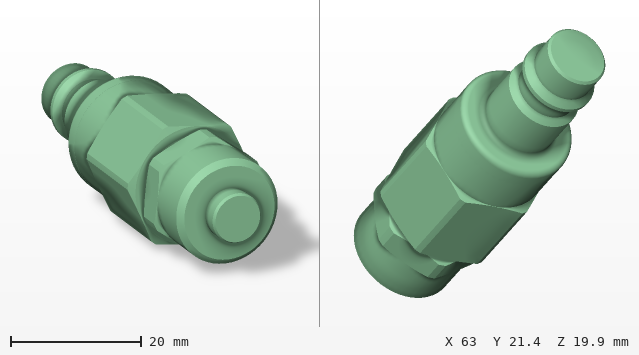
import cadquery as cq
import math

TOTAL_LENGTH = 63.0

TIP_DIAMETER = 9.9
TIP_CHAMFER = 0.4
RIDGE_DIAMETER = 12.0
RIDGE_START = 4.9
RIDGE_CREST_START = 6.1
RIDGE_CREST_END = 6.85
RIDGE_END = 8.0
GROOVE_DIAMETER = 9.75
GROOVE_END = 10.4
SHANK_START = 11.4
SHANK_DIAMETER = RIDGE_DIAMETER

COLLAR_START = 20.05
COLLAR_DIAMETER = 19.0
COLLAR_END = 23.0
COLLAR_ROUND = 0.95
SHANK_FILLET = 0.75
BODY_DIAMETER = 18.95

BODY_HEX_START = 29.85
BODY_HEX_END = 45.9
BODY_HEX_FLATS = 19.0
BODY_HEX_CORNERS = 21.4
BODY_HEX_ANGLE = -6.0

NECK_DIAMETER = 16.0
NUT_HEX_START = 47.3
NUT_HEX_END = 51.85
NUT_HEX_FLATS = 17.0
NUT_HEX_CORNERS = 18.95
NUT_HEX_ANGLE = 24.0
NUT_DIAMETER = 17.0
NUT_END = 59.85
NUT_CHAMFER = 0.95
STUB_DIAMETER = 8.0
STUB_CHAMFER = 0.5
STUB_CHAMFER_DEPTH = 0.25

HEX_BEVEL_LENGTH = 0.4


def turned_body():
    """Revolve the stepped round profile about the X axis."""
    tip = TIP_DIAMETER / 2
    ridge = RIDGE_DIAMETER / 2
    groove = GROOVE_DIAMETER / 2
    shank = SHANK_DIAMETER / 2
    collar = COLLAR_DIAMETER / 2
    body = BODY_DIAMETER / 2
    neck = NECK_DIAMETER / 2
    nut = NUT_DIAMETER / 2
    stub = STUB_DIAMETER / 2
    profile = (
        cq.Workplane("XY")
        .lineTo(0, tip - TIP_CHAMFER)
        .lineTo(TIP_CHAMFER, tip)
        .lineTo(RIDGE_START, tip)
        .lineTo(RIDGE_CREST_START, ridge)
        .lineTo(RIDGE_CREST_END, ridge)
        .lineTo(RIDGE_END, groove)
        .lineTo(GROOVE_END, groove)
        .lineTo(SHANK_START, shank)
        .lineTo(COLLAR_START - SHANK_FILLET, shank)
        .radiusArc((COLLAR_START, shank + SHANK_FILLET), -SHANK_FILLET)
        .lineTo(COLLAR_START, collar - COLLAR_ROUND)
        .radiusArc((COLLAR_START + COLLAR_ROUND, collar), COLLAR_ROUND)
        .lineTo(COLLAR_END, collar)
        .lineTo(COLLAR_END, body)
        .lineTo(BODY_HEX_END, body)
        .lineTo(BODY_HEX_END, neck)
        .lineTo(NUT_HEX_START, neck)
        .lineTo(NUT_HEX_START, nut)
        .lineTo(NUT_END - NUT_CHAMFER, nut)
        .lineTo(NUT_END, nut - NUT_CHAMFER)
        .lineTo(NUT_END, stub)
        .lineTo(TOTAL_LENGTH - STUB_CHAMFER, stub)
        .lineTo(TOTAL_LENGTH, stub - STUB_CHAMFER_DEPTH)
        .lineTo(TOTAL_LENGTH, 0)
        .close()
    )
    return profile.revolve(360, (0, 0, 0), (1, 0, 0))


def hexagon(start, end, flats, corners, angle):
    """Hexagon along X with turned corners; angle is that of a corner from +Y toward +Z."""
    radius = corners / 2
    prism = (
        cq.Workplane("YZ", origin=(start, 0, 0))
        .polygon(6, flats / math.cos(math.radians(30)))
        .extrude(end - start)
        .rotate((0, 0, 0), (1, 0, 0), angle)
    )
    envelope = (
        cq.Workplane("XY")
        .moveTo(start, 0)
        .lineTo(start, flats / 2)
        .lineTo(start + HEX_BEVEL_LENGTH, radius)
        .lineTo(end - HEX_BEVEL_LENGTH, radius)
        .lineTo(end, flats / 2)
        .lineTo(end, 0)
        .close()
        .revolve(360, (0, 0, 0), (1, 0, 0))
    )
    return prism.intersect(envelope)


body_hex = hexagon(BODY_HEX_START, BODY_HEX_END, BODY_HEX_FLATS, BODY_HEX_CORNERS, BODY_HEX_ANGLE)
nut_hex = hexagon(NUT_HEX_START, NUT_HEX_END, NUT_HEX_FLATS, NUT_HEX_CORNERS, NUT_HEX_ANGLE)

result = turned_body().union(body_hex).union(nut_hex)